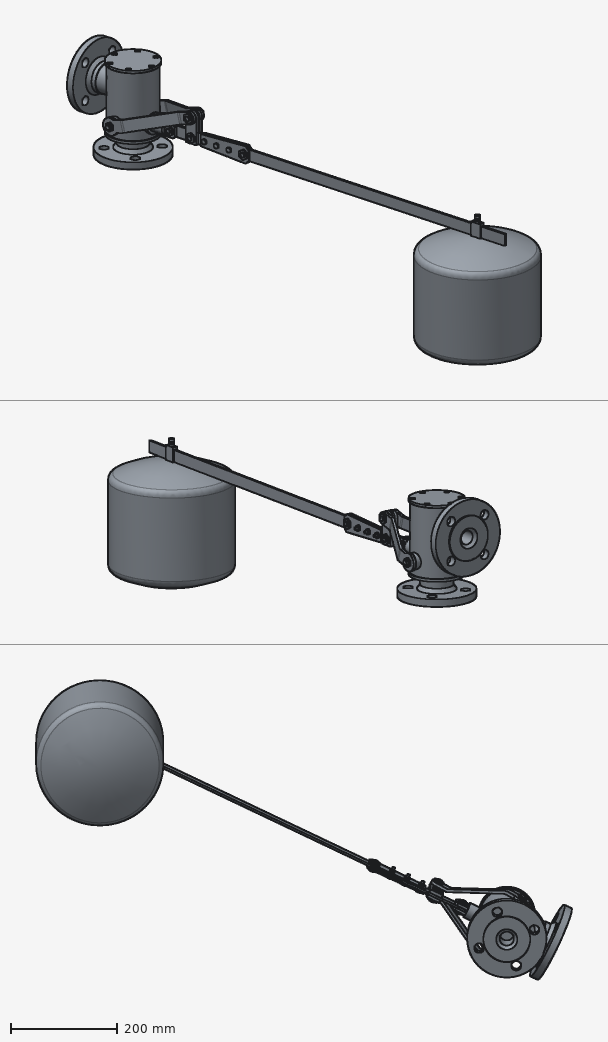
import cadquery as cq
import math


overall_length = 1078.0
overall_height = 387.0

flange_diameter = 150.0
flange_thickness = 15.0
raised_face_diameter = 88.0
raised_face_height = 3.0
bolt_circle_diameter = 110.0
bolt_hole_diameter = 18.0
bolt_hole_count = 4
hub_base_diameter = 75.0
hub_length = 9.0
bore_mouth_diameter = 40.0
bore_diameter = 27.0
bore_mouth_depth = (bore_mouth_diameter - bore_diameter) / 2

body_diameter = 101.0
lip_diameter = 107.0
lip_thickness = 5.0
body_bottom = -35.0
body_top = 115.0
outlet_face = -81.0
outlet_neck_diameter = 64.0
inlet_face = -103.0
inlet_neck_diameter = 62.0
inlet_pipe_diameter = 60.0
inlet_weld_x = -67.0
guide_diameter = 30.0
guide_end = 84.0
guide_collar_diameter = 43.0
guide_collar_end = 54.0

cover_screw_count = 6
cover_screw_circle_diameter = 92.0
screw_recess_diameter = 10.2
screw_recess_depth = 3.0
screw_hole_diameter = 5.5

link_width = 25.0
link_thickness = 6.0
link_eye_diameter = 36.0
link_wide_face = 60.0
link_narrow_face = 9.0
link_first_bend = 31.0
link_second_bend = 133.0
link_bend_radius = 9.0
rocker_x = 151.0
rocker_height = 42.0
link_length = math.hypot(rocker_x, rocker_height)
link_tilt = math.degrees(math.atan2(rocker_height, rocker_x))
link_boss_diameter = 32.0
pivot_diameter = 10.0
pivot_nut_width = 16.0
pivot_end = 74.0

bar_height = 24.0
bar_thickness = 4.0
large_head_width = 18.0
small_head_diameter = 10.2
head_height = 3.0
small_bolt_diameter = 5.5
large_bolt_diameter = 10.0
large_bolt_stub = 2.0

clevis_height = 28.0
clevis_thickness = 16.0
clevis_chamfer = 4.0
clevis_slot_start = 87.0
clevis_pin_x = 97.0
clevis_length = 26.0
rocker_width = 26.0

coupler_start = 172.0
coupler_end = 291.0
coupler_start_height = 25.0
coupler_end_height = 36.0
coupler_chamfer = 8.0
coupler_thickness = 11.0
bar_joint_x = 227.0
small_bolt_xs = (182.0, 212.0, 244.0)
small_bolt_stub = 5.0
large_bolt_x = 279.0
arm_end = 923.0

float_diameter = 240.0
float_height = 240.0
float_dome_radius = 264.0
float_shoulder_radius = 15.0
float_x = inlet_face + overall_length - float_diameter / 2
float_top = -bar_height / 2
inlet_height = float_top - float_height + overall_height - flange_diameter / 2
clamp_length = 23.0
clamp_thickness = 11.0
clamp_top = 17.0
clamp_depth = 4.0
clamp_nut_diameter = 10.2
clamp_nut_height = 4.0
clamp_screw_diameter = 5.0
clamp_screw_top = 31.0
clamp_head_height = 5.0


def z_cylinder(diameter, z_start, z_end):
    return cq.Workplane("XY", origin=(0, 0, z_start)).circle(diameter / 2).extrude(z_end - z_start)


def x_cylinder(diameter, x_start, x_end, z=0):
    return cq.Workplane("YZ", origin=(x_start, 0, z)).circle(diameter / 2).extrude(x_end - x_start)


def y_cylinder(diameter, x, z, y_start, y_end):
    plane = cq.Workplane("XZ", origin=(x, y_start, z))
    return plane.circle(diameter / 2).extrude(y_start - y_end)


def y_hexagon(width, x, z, y_start, y_end):
    plane = cq.Workplane("XZ", origin=(x, y_start, z))
    return plane.polygon(6, width, circumscribed=True).extrude(y_start - y_end)


def flat_bar(x_start, x_end, height, thickness):
    return cq.Workplane("XY").box(x_end - x_start, thickness, height).translate(((x_start + x_end) / 2, 0, 0))


def bolt_with_hexagons(x, z, grip):
    """Bolt along Y with a hexagon at each end of its grip and a stub beyond each."""
    bolt_end = grip / 2 + head_height + large_bolt_stub
    bolt = y_cylinder(large_bolt_diameter, x, z, -bolt_end, bolt_end)
    for side in (-1, 1):
        near = side * grip / 2
        bolt = bolt.union(y_hexagon(large_head_width, x, z, near, near + side * head_height))
    return bolt


def make_flange(neck_diameter, neck_length):
    """Weld-neck flange with its raised face at Z = 0 and a bore with a flared mouth."""
    back = raised_face_height + flange_thickness
    flange = z_cylinder(raised_face_diameter, 0, raised_face_height)
    flange = flange.union(z_cylinder(flange_diameter, raised_face_height, back))
    flange = flange.union(
        cq.Workplane("XY", origin=(0, 0, back))
        .circle(hub_base_diameter / 2)
        .workplane(offset=hub_length)
        .circle(neck_diameter / 2)
        .loft()
    )
    flange = flange.union(z_cylinder(neck_diameter, back + hub_length, neck_length))
    holes = (
        cq.Workplane("XY")
        .polarArray(bolt_circle_diameter / 2, 45, 360, bolt_hole_count)
        .circle(bolt_hole_diameter / 2)
        .extrude(back)
    )
    bore = z_cylinder(bore_diameter, 0, neck_length).union(
        cq.Workplane("XY")
        .circle(bore_mouth_diameter / 2)
        .workplane(offset=bore_mouth_depth)
        .circle(bore_diameter / 2)
        .loft()
    )
    return flange.cut(holes).cut(bore)


def make_body_shell():
    shell = z_cylinder(body_diameter, body_bottom, body_top)
    shell = shell.union(z_cylinder(lip_diameter, body_bottom, body_bottom + lip_thickness))
    shell = shell.union(z_cylinder(lip_diameter, body_top - lip_thickness, body_top))
    shell = shell.union(x_cylinder(guide_collar_diameter, 0, guide_collar_end))
    return shell.union(x_cylinder(guide_diameter, 0, guide_end))


def make_cover_screw_holes():
    centres = cq.Workplane("XY", origin=(0, 0, body_top)).polarArray(
        cover_screw_circle_diameter / 2, 0, 360, cover_screw_count
    )
    recesses = centres.circle(screw_recess_diameter / 2).extrude(-screw_recess_depth)
    holes = centres.circle(screw_hole_diameter / 2).extrude(-lip_thickness)
    return recesses.union(holes)


def make_link_pivot(side):
    """Boss on the body side, with the stud and nut that hold a link."""
    nut_start = side * (link_wide_face + link_thickness)
    nut_end = nut_start + side * head_height
    pivot = y_cylinder(link_boss_diameter, 0, 0, 0, side * link_wide_face)
    pivot = pivot.union(y_cylinder(pivot_diameter, 0, 0, 0, side * pivot_end))
    return pivot.union(y_hexagon(pivot_nut_width, 0, 0, nut_start, nut_end))


def make_inlet():
    """Side flange with a pipe whose bore ends at the wall of the body."""
    inlet = make_flange(inlet_neck_diameter, inlet_weld_x - inlet_face)
    inlet = inlet.rotate((0, 0, 0), (0, 1, 0), 90).translate((inlet_face, 0, inlet_height))
    pipe = x_cylinder(inlet_pipe_diameter, inlet_weld_x, 0, inlet_height)
    pipe = pipe.cut(x_cylinder(bore_diameter, inlet_weld_x, 0, inlet_height))
    return inlet.union(pipe).cut(z_cylinder(body_diameter, body_bottom, body_top))


def make_valve_body():
    body = make_body_shell().cut(make_cover_screw_holes())
    for side in (-1, 1):
        body = body.union(make_link_pivot(side))
    outlet = make_flange(outlet_neck_diameter, body_bottom - outlet_face)
    return body.union(outlet.translate((0, 0, outlet_face))).union(make_inlet())


def make_side_link(side):
    """Flat link that bends inward from the wide body pivot to the narrow rocker pivot."""
    wide_outer = link_wide_face + link_thickness
    narrow_outer = link_narrow_face + link_thickness
    strip = (
        cq.Workplane("XY", origin=(0, 0, -link_width / 2))
        .polyline(
            [
                (0, link_wide_face),
                (link_first_bend, link_wide_face),
                (link_second_bend, link_narrow_face),
                (link_length, link_narrow_face),
                (link_length, narrow_outer),
                (link_second_bend, narrow_outer),
                (link_first_bend, wide_outer),
                (0, wide_outer),
            ]
        )
        .close()
        .extrude(link_width)
    )
    bends = cq.selectors.BoxSelector(
        (link_first_bend / 2, 0, -link_width), (link_length - link_bend_radius, 2 * wide_outer, link_width)
    )
    strip = strip.edges("|Z").edges(bends).fillet(link_bend_radius)
    link = strip.union(y_cylinder(link_eye_diameter, 0, 0, link_wide_face, wide_outer))
    link = link.union(y_cylinder(link_width, link_length, 0, link_narrow_face, narrow_outer))
    link = link.cut(y_cylinder(pivot_diameter, 0, 0, 0, wide_outer))
    link = link.cut(y_cylinder(large_bolt_diameter, link_length, 0, 0, wide_outer))
    link = link.rotate((0, 0, 0), (0, 1, 0), -link_tilt)
    return link if side > 0 else link.mirror("XZ")


def make_lever():
    """Clevis and short bar, with holes for the rocker pin and two coupler bolts."""
    clevis_end = guide_end + clevis_length
    clevis = flat_bar(guide_end, clevis_end, clevis_height, clevis_thickness)
    clevis = clevis.edges("|Y and >X").chamfer(clevis_chamfer)
    clevis = clevis.cut(flat_bar(clevis_slot_start, clevis_end, clevis_height, bar_thickness))
    lever = clevis.union(flat_bar(clevis_slot_start, bar_joint_x, bar_height, bar_thickness))
    lever = lever.union(bolt_with_hexagons(clevis_pin_x, 0, clevis_thickness))
    lever = lever.cut(y_cylinder(large_bolt_diameter, rocker_x, 0, -bar_thickness, bar_thickness))
    for bolt_x in small_bolt_xs:
        lever = lever.cut(y_cylinder(small_bolt_diameter, bolt_x, 0, -bar_thickness, bar_thickness))
    return lever


def make_rocker():
    """Two upright cheeks astride the lever, joined by the lower and upper pins."""
    radius = rocker_width / 2
    bottom = -bar_height / 2
    cheeks = (
        cq.Workplane("XZ", origin=(rocker_x, 0, 0))
        .moveTo(-radius, bottom)
        .lineTo(radius, bottom)
        .lineTo(radius, rocker_height)
        .threePointArc((0, rocker_height + radius), (-radius, rocker_height))
        .close()
        .extrude(link_narrow_face, both=True)
    )
    gap_height = 2 * (rocker_height + rocker_width)
    cheeks = cheeks.cut(flat_bar(rocker_x - rocker_width, rocker_x + rocker_width, gap_height, bar_thickness))
    lower_pin = bolt_with_hexagons(rocker_x, 0, 2 * link_narrow_face)
    upper_grip = 2 * (link_narrow_face + link_thickness)
    upper_pin = bolt_with_hexagons(rocker_x, rocker_height, upper_grip)
    return cheeks.union(lower_pin).union(upper_pin)


def make_small_bolt(x):
    """Round-headed coupler bolt with its nut and a short stub on the +Y side."""
    face = coupler_thickness / 2
    nut_outer = face + head_height
    bolt = y_cylinder(small_head_diameter, x, 0, -face - head_height, -face)
    bolt = bolt.union(y_hexagon(small_head_diameter, x, 0, face, nut_outer))
    return bolt.union(y_cylinder(small_bolt_diameter, x, 0, -face, nut_outer + small_bolt_stub))


def make_float_arm():
    """Long bar with a tapered coupler astride its inner end."""
    start_half = coupler_start_height / 2
    end_half = coupler_end_height / 2
    coupler = (
        cq.Workplane("XZ")
        .polyline(
            [
                (coupler_start, -start_half),
                (coupler_end - coupler_chamfer, -end_half),
                (coupler_end, coupler_chamfer - end_half),
                (coupler_end, end_half - coupler_chamfer),
                (coupler_end - coupler_chamfer, end_half),
                (coupler_start, start_half),
            ]
        )
        .close()
        .extrude(coupler_thickness / 2, both=True)
    )
    bar_slot = flat_bar(coupler_start, coupler_end, coupler_end_height, bar_thickness)
    arm = coupler.cut(bar_slot).union(flat_bar(bar_joint_x, arm_end, bar_height, bar_thickness))
    for bolt_x in small_bolt_xs:
        arm = arm.union(make_small_bolt(bolt_x))
    return arm.union(bolt_with_hexagons(large_bolt_x, 0, coupler_thickness))


def make_float_shell():
    """Round drum with domed ends and rounded shoulders."""
    bottom = float_top - float_height
    radius = float_diameter / 2
    dome_rise = float_dome_radius - math.sqrt(float_dome_radius**2 - radius**2)
    mid_rise = float_dome_radius - math.sqrt(float_dome_radius**2 - (radius / 2) ** 2)
    profile = (
        cq.Workplane("XZ", origin=(float_x, 0, 0))
        .moveTo(0, bottom)
        .threePointArc((radius / 2, bottom + mid_rise), (radius, bottom + dome_rise))
        .lineTo(radius, float_top - dome_rise)
        .threePointArc((radius / 2, float_top - mid_rise), (0, float_top))
        .close()
    )
    shell = profile.revolve(360, (0, 0, 0), (0, 1, 0))
    return shell.edges("%CIRCLE").edges(cq.selectors.RadiusNthSelector(0)).fillet(float_shoulder_radius)


def make_float():
    """Float with the clamp that grips the arm and the clamp's set screw."""
    clamp = (
        cq.Workplane("XY", origin=(0, 0, float_top - clamp_depth))
        .rect(clamp_length, clamp_thickness)
        .extrude(clamp_top + clamp_depth - float_top)
    )
    nut_top = clamp_top + clamp_nut_height
    clamp = clamp.union(z_cylinder(clamp_nut_diameter, clamp_top, nut_top))
    clamp = clamp.union(z_cylinder(clamp_screw_diameter, nut_top, clamp_screw_top))
    clamp = clamp.union(z_cylinder(clamp_nut_diameter, clamp_screw_top - clamp_head_height, clamp_screw_top))
    body = make_float_shell().union(clamp.translate((float_x, 0, 0)))
    return body.cut(flat_bar(float_x - clamp_length, float_x + clamp_length, bar_height, bar_thickness))


valve_body = make_valve_body()
side_links = [make_side_link(side) for side in (-1, 1)]
lever = make_lever()
rocker = make_rocker()
float_arm = make_float_arm()
float_body = make_float()

result = cq.Compound.makeCompound(
    [
        valve_body.solids().val(),
        *[link.solids().val() for link in side_links],
        lever.solids().val(),
        rocker.solids().val(),
        float_arm.solids().val(),
        float_body.solids().val(),
    ]
)